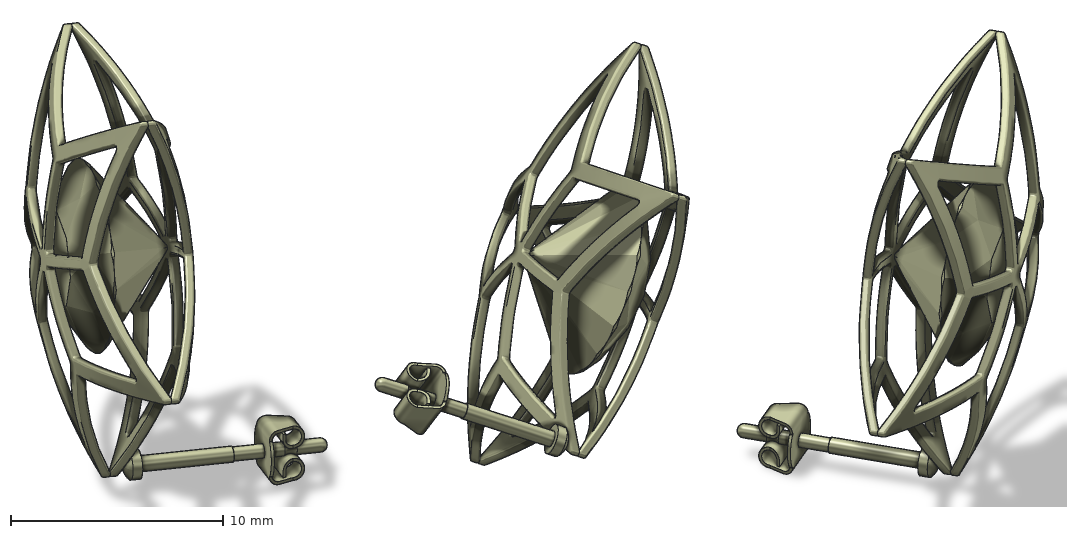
import cadquery as cq
import math

POINTS = 5
STEP = 2 * math.pi / POINTS
DOWN = -math.pi / 2
TIP_RADIUS = 11.5
NOTCH_RADIUS = 5.75
CORNER_ROUND = 0.17
FRAME_HALF_DEPTH = 3.25
DOME_RADIUS = 23.55
SHELL_THICKNESS = 0.45
RIM_WIDTH = 0.85
SPOKE_WIDTH = 0.6
WINDOW_ROUND = 0.17
EDGE_ROUND = 0.13

GEM_SYMMETRY = 8
GIRDLE_RADIUS = 4.62
GIRDLE_Y = -1.05
TABLE_RADIUS = 2.43
TABLE_Y = -2.6
CROWN_CORNER_RADIUS = 3.83
CULET_Y = 2.9
PAVILION_CORNER_RADIUS = 0.45

POST_Z = -10.8
POST_END_Y = 10.65
POST_RADIUS = 0.35
STEM_RADIUS = 0.39
STEM_END_Y = 6.0
HEAD_RADIUS = 0.73
HEAD_BACK_Y = 1.42
HEAD_RIM_Y = 0.95
HEAD_APEX_Y = 0.62

STRIP_THICKNESS = 0.15
CLUTCH_HALF_HEIGHT = 1.38
BASE_FRONT_Y = 7.5
BASE_RADIUS = 1.46
CORNER_RADIUS = 0.5
CURL_RADIUS = 0.55
CURL_Y = 8.8
CURL_END_RISE = 0.28
ROOT_HALF_WIDTH = 1.12
SHOULDER_HALF_WIDTH = 1.01
CURL_HALF_WIDTH = 0.69

DOME_CENTRE_Y = FRAME_HALF_DEPTH - DOME_RADIUS
CURL_RISE = CLUTCH_HALF_HEIGHT - CURL_RADIUS


def polar(radius, angle):
    """Point in the XZ plane at an angle from +X towards +Z."""
    return radius * math.cos(angle), radius * math.sin(angle)


def xz_prism(points, y_start, y_end):
    """Prism with an XZ outline, running from y_start to y_end."""
    plane = cq.Plane(origin=(0, y_start, 0), xDir=(1, 0, 0), normal=(0, -1, 0))
    return cq.Workplane(plane).polyline(points).close().extrude(y_start - y_end)


def star_blank():
    """Solid star prism, deep enough to contain both spherical faces of a shell."""
    outline = []
    for i in range(POINTS):
        angle = DOWN + i * STEP
        outline.append(polar(TIP_RADIUS, angle))
        outline.append(polar(NOTCH_RADIUS, angle + STEP / 2))
    return xz_prism(outline, -FRAME_HALF_DEPTH, FRAME_HALF_DEPTH).edges("|Y").fillet(CORNER_ROUND)


def window_outline(angle):
    """Kite between two spokes: the star point set in by the rim and spoke widths."""
    tip_x = TIP_RADIUS
    notch_x, notch_y = polar(NOTCH_RADIUS, STEP / 2)
    half_angle = math.atan2(notch_y, tip_x - notch_x)
    inner = SPOKE_WIDTH / 2 / math.sin(STEP / 2)
    outer = tip_x - RIM_WIDTH / math.sin(half_angle)
    side_x = (outer * math.tan(half_angle) + inner * math.tan(STEP / 2)) / (
        math.tan(half_angle) + math.tan(STEP / 2)
    )
    side_y = (side_x - inner) * math.tan(STEP / 2)
    side_radius = math.hypot(side_x, side_y)
    side_angle = math.atan2(side_y, side_x)
    return [
        polar(inner, angle),
        polar(side_radius, angle - side_angle),
        polar(outer, angle),
        polar(side_radius, angle + side_angle),
    ]


def back_shell():
    """The +Y half of the frame: a spherical skin cut to the star, with five windows.

    The skin just crosses the XZ plane at the tips, where it joins its mirror image.
    """
    star = star_blank()
    for i in range(POINTS):
        window = xz_prism(window_outline(DOWN + i * STEP), -FRAME_HALF_DEPTH, FRAME_HALF_DEPTH)
        star = star.cut(window.edges("|Y").fillet(WINDOW_ROUND))
    centre = (0, DOME_CENTRE_Y, 0)
    outer = cq.Workplane("XY").sphere(DOME_RADIUS).translate(centre)
    inner = cq.Workplane("XY").sphere(DOME_RADIUS - SHELL_THICKNESS).translate(centre)
    shell = star.intersect(outer).cut(inner)
    return shell.faces("%SPHERE").edges().fillet(EDGE_ROUND)


def gem():
    """Brilliant cut: octagonal table, crown and pavilion facets, girdle turned round."""
    sector = 2 * math.pi / GEM_SYMMETRY
    corner_radius = GIRDLE_RADIUS / math.cos(sector / 4)

    def ring_point(radius, y, sectors):
        x, z = polar(radius, sectors * sector)
        return cq.Vector(x, y, z)

    def height_share(radius, inner_radius):
        """Share of the way from the girdle to inner_radius along a main facet's plane."""
        return (corner_radius - radius * math.cos(sector / 2)) / (corner_radius - inner_radius)

    crown_y = GIRDLE_Y + (TABLE_Y - GIRDLE_Y) * height_share(CROWN_CORNER_RADIUS, TABLE_RADIUS)
    pavilion_y = GIRDLE_Y + (CULET_Y - GIRDLE_Y) * height_share(PAVILION_CORNER_RADIUS, 0)
    culet = cq.Vector(0, CULET_Y, 0)

    facets = [[ring_point(TABLE_RADIUS, TABLE_Y, i) for i in range(GEM_SYMMETRY)]]
    for i in range(GEM_SYMMETRY):
        table = ring_point(TABLE_RADIUS, TABLE_Y, i)
        next_table = ring_point(TABLE_RADIUS, TABLE_Y, i + 1)
        girdle = ring_point(corner_radius, GIRDLE_Y, i)
        mid_girdle = ring_point(corner_radius, GIRDLE_Y, i + 0.5)
        next_girdle = ring_point(corner_radius, GIRDLE_Y, i + 1)
        crown = ring_point(CROWN_CORNER_RADIUS, crown_y, i + 0.5)
        last_crown = ring_point(CROWN_CORNER_RADIUS, crown_y, i - 0.5)
        pavilion = ring_point(PAVILION_CORNER_RADIUS, pavilion_y, i + 0.5)
        last_pavilion = ring_point(PAVILION_CORNER_RADIUS, pavilion_y, i - 0.5)
        facets += [
            [table, next_table, crown],
            [table, crown, girdle, last_crown],
            [girdle, mid_girdle, crown],
            [mid_girdle, next_girdle, crown],
            [girdle, mid_girdle, pavilion],
            [mid_girdle, next_girdle, pavilion],
            [culet, pavilion, girdle, last_pavilion],
        ]
    faces = [cq.Face.makeFromWires(cq.Wire.makePolygon(f, close=True)) for f in facets]
    faceted = cq.Workplane(cq.Solid.makeSolid(cq.Shell.makeShell(faces)))
    axis_plane = cq.Plane(origin=(0, TABLE_Y, 0), xDir=(1, 0, 0), normal=(0, 1, 0))
    return faceted.intersect(cq.Workplane(axis_plane).circle(GIRDLE_RADIUS).extrude(CULET_Y - TABLE_Y))


def post():
    """Turned pin with a domed head, a gripping groove and a rounded end."""
    shoulder_y = POST_END_Y - POST_RADIUS
    diagonal = math.sqrt(0.5)
    dome_height = HEAD_RIM_Y - HEAD_APEX_Y
    dome_radius = (HEAD_RADIUS**2 + dome_height**2) / (2 * dome_height)
    pin = (
        cq.Workplane("XY")
        .moveTo(0, HEAD_APEX_Y)
        .radiusArc((HEAD_RADIUS, HEAD_RIM_Y), -dome_radius)
        .lineTo(HEAD_RADIUS, HEAD_BACK_Y)
        .lineTo(POST_RADIUS, HEAD_BACK_Y)
        .lineTo(POST_RADIUS, shoulder_y)
        .threePointArc(
            (POST_RADIUS * diagonal, shoulder_y + POST_RADIUS * diagonal), (0, POST_END_Y)
        )
        .close()
        .revolve(360, (0, 0, 0), (0, 1, 0))
    )
    groove = (
        cq.Workplane("XY")
        .center(CURL_RISE, CURL_Y)
        .circle(CURL_RADIUS)
        .revolve(360, (-CURL_RISE, 0, 0), (-CURL_RISE, 1, 0))
    )
    stem_plane = cq.Plane(origin=(0, STEM_END_Y, 0), xDir=(1, 0, 0), normal=(0, -1, 0))
    stem = (
        cq.Workplane(stem_plane)
        .circle(STEM_RADIUS)
        .extrude(STEM_END_Y - HEAD_BACK_Y)
    )
    return pin.cut(groove).union(stem).translate((0, 0, POST_Z))


def strip_arm():
    """Upper arm: a flat strip, wider than its final outline, swept along its bends."""
    half_t = STRIP_THICKNESS / 2
    base_y = BASE_FRONT_Y + half_t
    top_z = CLUTCH_HALF_HEIGHT - half_t
    bend = CORNER_RADIUS - half_t
    curl = CURL_RADIUS - half_t
    diagonal = math.sqrt(0.5)
    path = (
        cq.Workplane("YZ")
        .moveTo(base_y, 0)
        .lineTo(base_y, top_z - bend)
        .threePointArc(
            (base_y + bend * (1 - diagonal), top_z - bend * (1 - diagonal)), (base_y + bend, top_z)
        )
        .lineTo(CURL_Y, top_z)
        .threePointArc((CURL_Y + curl, CURL_RISE), (CURL_Y, CURL_RISE - curl))
        .threePointArc(
            (CURL_Y - curl * diagonal, CURL_RISE - curl * diagonal), (CURL_Y - curl, CURL_RISE)
        )
        .lineTo(CURL_Y - curl, CURL_RISE + CURL_END_RISE)
    )
    cross_plane = cq.Plane(origin=(0, base_y, 0), xDir=(1, 0, 0), normal=(0, 0, 1))
    return cq.Workplane(cross_plane).rect(2 * BASE_RADIUS, STRIP_THICKNESS).sweep(path)


def arm_outline():
    """Prism whose plan tapers from the root of the arm to the far side of the curl."""
    right_side = [
        (ROOT_HALF_WIDTH, BASE_FRONT_Y),
        (SHOULDER_HALF_WIDTH, BASE_FRONT_Y + CORNER_RADIUS),
        (CURL_HALF_WIDTH, CURL_Y),
        (CURL_HALF_WIDTH, CURL_Y + CURL_RADIUS),
    ]
    left_side = [(-x, y) for x, y in reversed(right_side)]
    return (
        cq.Workplane("XY")
        .polyline(right_side + left_side)
        .close()
        .extrude(CLUTCH_HALF_HEIGHT)
    )


def butterfly_clutch():
    """Round base with a post hole, and two arms curled back to grip the post groove."""
    arm = strip_arm().intersect(arm_outline())
    plane = cq.Plane(origin=(0, BASE_FRONT_Y, 0), xDir=(1, 0, 0), normal=(0, 1, 0))
    flat_height = 2 * (CLUTCH_HALF_HEIGHT - CORNER_RADIUS)
    disc = cq.Workplane(plane).circle(BASE_RADIUS).extrude(STRIP_THICKNESS)
    flat_band = cq.Workplane(plane).rect(2 * BASE_RADIUS, flat_height).extrude(STRIP_THICKNESS)
    base = disc.intersect(flat_band)
    post_hole = cq.Workplane(plane).circle(POST_RADIUS).extrude(STRIP_THICKNESS)
    body = base.union(arm).union(arm.mirror("XY"))
    return body.cut(post_hole).translate((0, 0, POST_Z))


def earring_body():
    """Frame, gem and post as one solid: the culet sinks into the back hub, the post head into a tip."""
    back = back_shell()
    front = back.mirror("XZ")
    return back.val().fuse(front.val(), gem().val(), post().val())


earring = earring_body()
clutch = butterfly_clutch()
result = cq.Compound.makeCompound([*earring.Solids(), clutch.val()])